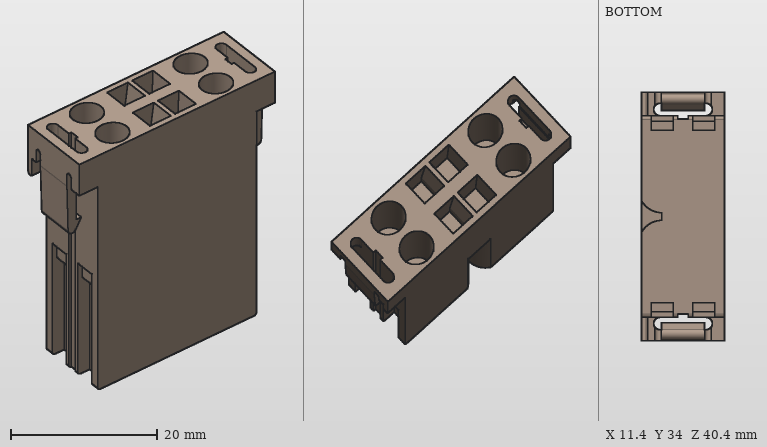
import cadquery as cq
import math

WIDTH = 11.4
LENGTH = 34.0
HEIGHT = 40.4

BODY_LENGTH = 27.65
FLANGE_UNDERSIDE = 35.03
BASE_EDGE_RADIUS = 0.5

LIP_THICKNESS = 0.9
LIP_BOTTOM = 32.0
LIP_OUTER_RADIUS = 0.55
LIP_INNER_RADIUS = 0.3

LATCH_WIDTH = 5.9
LATCH_THICKNESS = 1.65
LATCH_TAPER = 0.2
LATCH_BOTTOM = 26.5
LATCH_TIP_RADIUS = 0.73
BARB_TOP = 28.52
BARB_REACH = 0.85
SLIT_WIDTH = 0.93
SLIT_TOP = 37.4

LATCH_SLOT_LENGTH = 8.0
LATCH_SLOT_WIDTH = 1.65

END_GROOVE_WIDTH = 1.37
END_GROOVE_DEPTH = 0.45

RECESS_WIDTH = 3.05
RECESS_X = 2.83
RECESS_TOP = 19.25
RECESS_STEP = 16.5
RECESS_SHALLOW_DEPTH = 0.75
RECESS_DEEP_DEPTH = 2.0

KEYWAY_TOP = 19.67
KEYWAY_FLOOR_WIDTH = 1.05
KEYWAY_MOUTH_WIDTH = 4.35
KEYWAY_WALL_RADIUS = 3.25

OVAL_CAVITY_X = 2.83
OVAL_CAVITY_WIDTH = 4.52
OVAL_CAVITY_LENGTH = 4.85
OVAL_CAVITY_Y = 9.0
OVAL_CAVITY_DEPTH = 18.2
SQUARE_CAVITY_X = 2.85
SQUARE_CAVITY_WIDTH = 3.8
SQUARE_CAVITY_INNER_Y = 0.35
SQUARE_CAVITY_OUTER_Y = 4.0
SQUARE_CAVITY_DEPTH = 8.1
INNER_TAPER_DEPTH = 5.8
INNER_TAPER_RUN = 0.75
OUTER_TAPER_RUN = 0.32

HALF_WIDTH = WIDTH / 2
HALF_LENGTH = LENGTH / 2
BODY_END = BODY_LENGTH / 2
LATCH_SLOT_Y = BODY_END + LATCH_SLOT_WIDTH / 2


def block(x_range, y_range, z_range):
    """Axis-aligned block spanning the given (low, high) ranges."""
    (x0, x1), (y0, y1), (z0, z1) = x_range, y_range, z_range
    return cq.Workplane("XY").box(x1 - x0, y1 - y0, z1 - z0, centered=False).translate((x0, y0, z0))


def both_ends(shape):
    """The shape together with its mirror image at the other Y end."""
    return shape.union(shape.mirror("XZ"))


def extrude_across(profile, width):
    """Extrude a closed YZ profile symmetrically about X = 0."""
    return profile.extrude(width / 2, both=True)


def make_body():
    body = block((-HALF_WIDTH, HALF_WIDTH), (-BODY_END, BODY_END), (0, HEIGHT))
    body = body.faces("<Z").edges("|X").fillet(BASE_EDGE_RADIUS)
    flange = block((-HALF_WIDTH, HALF_WIDTH), (-HALF_LENGTH, HALF_LENGTH), (FLANGE_UNDERSIDE, HEIGHT))
    return body.union(flange)


def make_lip():
    """Lip at the +Y end, with its two lower edges rounded."""
    lip = block(
        (-HALF_WIDTH, -HALF_WIDTH + LIP_THICKNESS),
        (BODY_END, HALF_LENGTH),
        (LIP_BOTTOM, FLANGE_UNDERSIDE),
    )
    lip = lip.edges("<X and <Z").fillet(LIP_OUTER_RADIUS)
    return lip.edges(">X and <Z").fillet(LIP_INNER_RADIUS)


def make_latch():
    """Latch arm at the +Y end, tapering on its outer face, with an inward barb."""
    inner_face = HALF_LENGTH - LATCH_THICKNESS
    tip_outer = HALF_LENGTH - LATCH_TAPER
    tip_y = tip_outer - LATCH_TIP_RADIUS
    tip_z = LATCH_BOTTOM + LATCH_TIP_RADIUS
    barb_y = inner_face - BARB_REACH

    run = tip_y - barb_y
    drop = BARB_TOP - tip_z
    slope_angle = math.atan2(drop, run) + math.asin(LATCH_TIP_RADIUS / math.hypot(run, drop))
    tangent_y = tip_y - LATCH_TIP_RADIUS * math.sin(slope_angle)
    tangent_z = tip_z - LATCH_TIP_RADIUS * math.cos(slope_angle)

    profile = (
        cq.Workplane("YZ")
        .moveTo(HALF_LENGTH, FLANGE_UNDERSIDE)
        .lineTo(tip_outer, tip_z)
        .threePointArc((tip_y, LATCH_BOTTOM), (tangent_y, tangent_z))
        .lineTo(barb_y, BARB_TOP)
        .lineTo(inner_face, BARB_TOP)
        .lineTo(inner_face, FLANGE_UNDERSIDE)
        .close()
    )
    return extrude_across(profile, LATCH_WIDTH)


def make_latch_slot():
    """Through slot at the +Y end and the round-topped slits that free the latch sides."""
    cut = (
        cq.Workplane("XY", origin=(0, LATCH_SLOT_Y, FLANGE_UNDERSIDE))
        .slot2D(LATCH_SLOT_LENGTH, LATCH_SLOT_WIDTH)
        .extrude(HEIGHT - FLANGE_UNDERSIDE)
    )
    slit_height = SLIT_TOP - FLANGE_UNDERSIDE
    slit_x = (LATCH_WIDTH + SLIT_WIDTH) / 2
    for x in (-slit_x, slit_x):
        slit = (
            cq.Workplane("XZ", origin=(x, HALF_LENGTH, FLANGE_UNDERSIDE))
            .slot2D(2 * slit_height, SLIT_WIDTH, 90)
            .extrude(HALF_LENGTH - LATCH_SLOT_Y)
        )
        cut = cut.union(slit)
    return cut


def make_end_groove():
    half = END_GROOVE_WIDTH / 2
    return block((-half, half), (BODY_END - END_GROOVE_DEPTH, LATCH_SLOT_Y), (0, HEIGHT))


def make_recess(x):
    """Stepped recess in the +Y end face, open at the base."""
    x_range = (x - RECESS_WIDTH / 2, x + RECESS_WIDTH / 2)
    shallow = block(x_range, (BODY_END - RECESS_SHALLOW_DEPTH, BODY_END), (0, RECESS_TOP))
    deep = block(x_range, (BODY_END - RECESS_DEEP_DEPTH, BODY_END), (0, RECESS_STEP))
    return shallow.union(deep)


def make_keyway():
    """Keyway narrowing inwards along convex walls that end square to its flat floor."""
    floor_half = KEYWAY_FLOOR_WIDTH / 2
    mouth_half = KEYWAY_MOUTH_WIDTH / 2
    wall_center_y = floor_half + KEYWAY_WALL_RADIUS
    depth = math.sqrt(KEYWAY_WALL_RADIUS**2 - (wall_center_y - mouth_half)**2)
    floor_x = -HALF_WIDTH + depth
    return (
        cq.Workplane("XY")
        .moveTo(-HALF_WIDTH, -mouth_half)
        .radiusArc((floor_x, -floor_half), KEYWAY_WALL_RADIUS)
        .lineTo(floor_x, floor_half)
        .radiusArc((-HALF_WIDTH, mouth_half), KEYWAY_WALL_RADIUS)
        .close()
        .extrude(KEYWAY_TOP)
    )


def make_oval_cavity(x):
    return (
        cq.Workplane("XY", origin=(x, OVAL_CAVITY_Y, HEIGHT - OVAL_CAVITY_DEPTH))
        .ellipse(OVAL_CAVITY_WIDTH / 2, OVAL_CAVITY_LENGTH / 2)
        .extrude(OVAL_CAVITY_DEPTH)
    )


def make_square_cavity(x):
    """Cavity narrowing downwards; the inner wall turns vertical before reaching the floor."""
    taper_end_z = HEIGHT - INNER_TAPER_DEPTH
    floor_z = HEIGHT - SQUARE_CAVITY_DEPTH
    floor_inner = SQUARE_CAVITY_INNER_Y + INNER_TAPER_RUN
    floor_outer = SQUARE_CAVITY_OUTER_Y - OUTER_TAPER_RUN
    profile = cq.Workplane("YZ").polyline([
        (SQUARE_CAVITY_INNER_Y, HEIGHT),
        (floor_inner, taper_end_z),
        (floor_inner, floor_z),
        (floor_outer, floor_z),
        (SQUARE_CAVITY_OUTER_Y, HEIGHT),
    ]).close()
    return extrude_across(profile, SQUARE_CAVITY_WIDTH).translate((x, 0, 0))


result = make_body()
result = result.cut(both_ends(make_latch_slot()))
result = result.cut(both_ends(make_end_groove()))
result = result.union(both_ends(make_lip()))
result = result.union(both_ends(make_latch()))
result = result.cut(make_keyway())
for side in (-1, 1):
    result = result.cut(both_ends(make_recess(side * RECESS_X)))
    result = result.cut(both_ends(make_oval_cavity(side * OVAL_CAVITY_X)))
    result = result.cut(both_ends(make_square_cavity(side * SQUARE_CAVITY_X)))